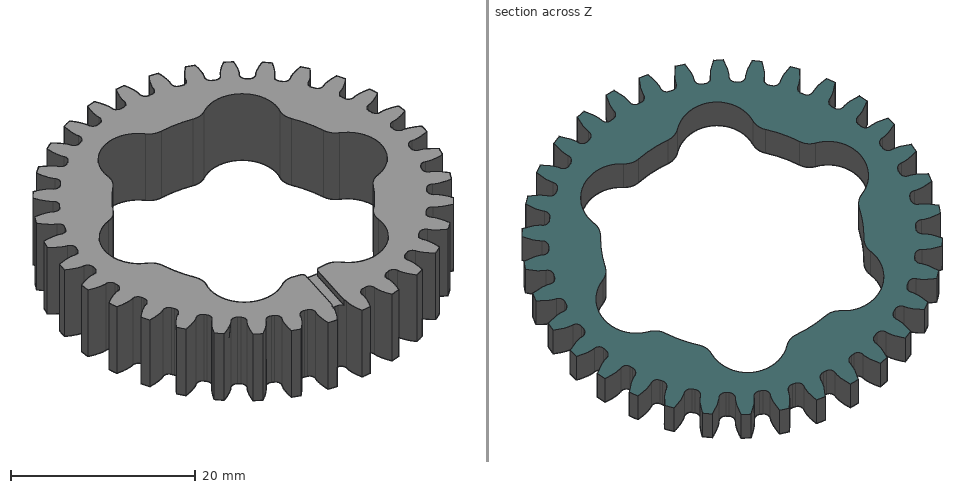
import cadquery as cq
import math

INCH = 25.4
TOOTH_COUNT = 34
DIAMETRAL_PITCH = 20
PRESSURE_ANGLE = math.radians(14.5)
FACE_WIDTH = 0.375 * INCH
DEDENDUM_FACTOR = 1.25
MODULE = INCH / DIAMETRAL_PITCH
PITCH_RADIUS = MODULE * TOOTH_COUNT / 2
TIP_RADIUS = PITCH_RADIUS + MODULE
ROOT_RADIUS = PITCH_RADIUS - DEDENDUM_FACTOR * MODULE
BASE_RADIUS = PITCH_RADIUS * math.cos(PRESSURE_ANGLE)
BACKLASH = 0.08
ROOT_FILLET = 0.7
FLANK_POINTS = 6

BORE_RADIUS = 14.29
LOBE_COUNT = 6
LOBE_RADIUS = 4.36
LOBE_REACH = 17.465
LOBE_CENTER = LOBE_REACH - LOBE_RADIUS
BORE_BLEND = 2.15

SLOT_WIDTH = 0.06 * INCH
SLOT_DEPTH = 0.03 * INCH
SLOT_CORNER_RADIUS = 0.5
SLOT_OVERRUN = 1.0

FIRST_FEATURE_ANGLE = math.pi / 2


def polar(radius, angle):
    return (radius * math.cos(angle), radius * math.sin(angle))


def arc_midpoint(center, radius, start, end):
    """Middle of the shorter arc between two points of a circle."""
    dx = (start[0] + end[0]) / 2 - center[0]
    dy = (start[1] + end[1]) / 2 - center[1]
    scale = radius / math.hypot(dx, dy)
    return (center[0] + dx * scale, center[1] + dy * scale)


def involute(radius):
    """Polar angle swept by the involute between the base circle and a radius."""
    pressure = math.acos(min(1, BASE_RADIUS / radius))
    return math.tan(pressure) - pressure


def tooth_half_angle(radius):
    """Half of the angle a tooth spans at a radius on or above the base circle."""
    pitch_half_angle = (math.pi * MODULE / 2 - BACKLASH) / (2 * PITCH_RADIUS)
    return pitch_half_angle + involute(PITCH_RADIUS) - involute(radius)


def flank_points(middle, side):
    """Flank from its root fillet, through the base circle and along the involute to the tip."""
    tip_roll = math.sqrt((TIP_RADIUS / BASE_RADIUS) ** 2 - 1)
    rolls = [tip_roll * i / (FLANK_POINTS - 1) for i in range(FLANK_POINTS)]
    radii = [BASE_RADIUS * math.hypot(1, roll) for roll in rolls]
    fillet_end = root_fillet(middle, side)[0]
    return [fillet_end] + [polar(r, middle + side * tooth_half_angle(r)) for r in radii]


def flank_tangents(middle, side):
    """Directions of travel along a flank at its root fillet and at the tip; side -1 runs outward."""
    tip_pressure = math.acos(BASE_RADIUS / TIP_RADIUS)
    base_angle = middle + side * tooth_half_angle(BASE_RADIUS)
    tip_angle = middle + side * (tooth_half_angle(TIP_RADIUS) - tip_pressure)
    return [polar(-side, base_angle), polar(-side, tip_angle)]


def root_fillet(middle, side):
    """Flank end, midpoint and root end of the fillet joining a radial flank to the root circle."""
    center_radius = ROOT_RADIUS + ROOT_FILLET
    offset = math.asin(ROOT_FILLET / center_radius)
    flank_angle = middle + side * tooth_half_angle(BASE_RADIUS)
    center_angle = flank_angle + side * offset
    flank_end = polar(center_radius * math.cos(offset), flank_angle)
    root_end = polar(ROOT_RADIUS, center_angle)
    center = polar(center_radius, center_angle)
    return flank_end, arc_midpoint(center, ROOT_FILLET, flank_end, root_end), root_end


def make_gear_blank():
    pitch_angle = 2 * math.pi / TOOTH_COUNT
    start = root_fillet(FIRST_FEATURE_ANGLE, -1)[2]
    outline = cq.Workplane("XY").moveTo(*start)
    for i in range(TOOTH_COUNT):
        middle = FIRST_FEATURE_ANGLE + i * pitch_angle
        rising = flank_points(middle, -1)
        falling = flank_points(middle, 1)[::-1]
        _, entry_middle, _ = root_fillet(middle, -1)
        _, exit_middle, exit_root = root_fillet(middle, 1)
        next_root = root_fillet(middle + pitch_angle, -1)[2]
        outline = (
            outline.threePointArc(entry_middle, rising[0])
            .spline(rising[1:], tangents=flank_tangents(middle, -1), includeCurrent=True)
            .threePointArc(polar(TIP_RADIUS, middle), falling[0])
            .spline(falling[1:], tangents=flank_tangents(middle, 1)[::-1], includeCurrent=True)
            .threePointArc(exit_middle, exit_root)
            .threePointArc(polar(ROOT_RADIUS, middle + pitch_angle / 2), next_root)
        )
    return outline.close().extrude(FACE_WIDTH)


def bore_blend(middle, side):
    """Bore end, midpoint and lobe end of the blend between the bore circle and a lobe."""
    center_radius = BORE_RADIUS + BORE_BLEND
    lobe_distance = LOBE_RADIUS + BORE_BLEND
    cosine = (center_radius**2 + LOBE_CENTER**2 - lobe_distance**2) / (2 * center_radius * LOBE_CENTER)
    angle = middle + side * math.acos(cosine)
    center = polar(center_radius, angle)
    lobe = polar(LOBE_CENTER, middle)
    share = LOBE_RADIUS / lobe_distance
    lobe_end = (lobe[0] + (center[0] - lobe[0]) * share, lobe[1] + (center[1] - lobe[1]) * share)
    bore_end = polar(BORE_RADIUS, angle)
    return bore_end, arc_midpoint(center, BORE_BLEND, bore_end, lobe_end), lobe_end


def make_bore():
    lobe_angle = 2 * math.pi / LOBE_COUNT
    start = bore_blend(FIRST_FEATURE_ANGLE, -1)[0]
    outline = cq.Workplane("XY").moveTo(*start)
    for i in range(LOBE_COUNT):
        middle = FIRST_FEATURE_ANGLE + i * lobe_angle
        _, entry_middle, entry_lobe = bore_blend(middle, -1)
        exit_bore, exit_middle, exit_lobe = bore_blend(middle, 1)
        next_bore = bore_blend(middle + lobe_angle, -1)[0]
        outline = (
            outline.threePointArc(entry_middle, entry_lobe)
            .threePointArc(polar(LOBE_REACH, middle), exit_lobe)
            .threePointArc(exit_middle, exit_bore)
            .threePointArc(polar(BORE_RADIUS, middle + lobe_angle / 2), next_bore)
        )
    return outline.close().extrude(FACE_WIDTH)


def make_slot():
    """Slot along +X whose mouth at the bore flares out with rounded corners."""
    half_width = SLOT_WIDTH / 2
    corner_center_y = half_width + SLOT_CORNER_RADIUS
    corner_center_radius = BORE_RADIUS + SLOT_CORNER_RADIUS
    corner_angle = math.asin(corner_center_y / corner_center_radius)
    center = polar(corner_center_radius, corner_angle)
    bore_end = polar(BORE_RADIUS, corner_angle)
    slot_end = (center[0], half_width)
    middle = arc_midpoint(center, SLOT_CORNER_RADIUS, bore_end, slot_end)
    inner_x = BORE_RADIUS - SLOT_OVERRUN
    return (
        cq.Workplane("XY")
        .workplane(offset=FACE_WIDTH - SLOT_DEPTH)
        .moveTo(inner_x, bore_end[1])
        .lineTo(*bore_end)
        .threePointArc(middle, slot_end)
        .lineTo(TIP_RADIUS, half_width)
        .lineTo(TIP_RADIUS, -half_width)
        .lineTo(slot_end[0], -half_width)
        .threePointArc((middle[0], -middle[1]), (bore_end[0], -bore_end[1]))
        .lineTo(inner_x, -bore_end[1])
        .close()
        .extrude(SLOT_DEPTH)
    )


result = make_gear_blank().cut(make_bore()).cut(make_slot())